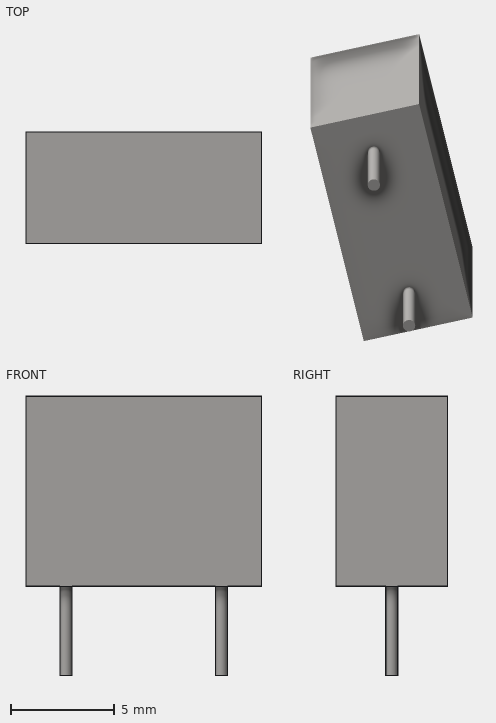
import cadquery as cq

total_height = 13.5
body_length = 11.4
body_width = 5.4
body_height = 9.2
pin_diameter = 0.6
pin_spacing = 7.5

pin_length = total_height - body_height

body = cq.Workplane("XY").box(body_length, body_width, body_height, centered=(True, True, False))

pins = (
    cq.Workplane("XY")
    .pushPoints([(-pin_spacing / 2, 0), (pin_spacing / 2, 0)])
    .circle(pin_diameter / 2)
    .extrude(-pin_length)
)

result = body.union(pins)